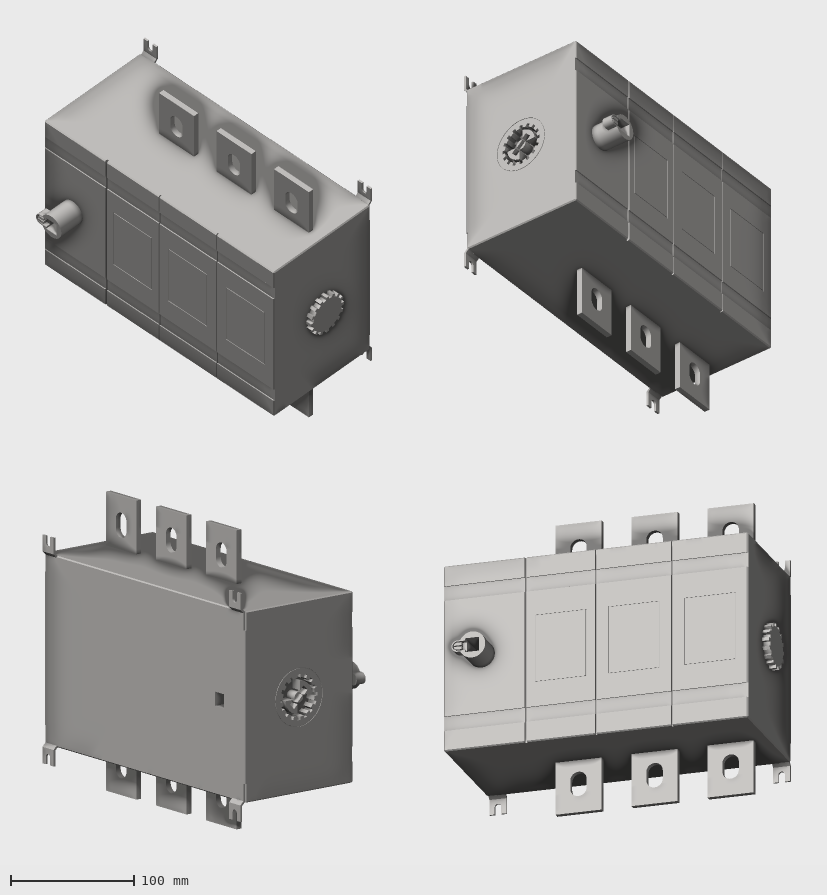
import cadquery as cq
import math


POLE_COUNT = 3
POLE_PITCH = 65.0
HOUSING_LENGTH = (POLE_COUNT + 1) * POLE_PITCH
HOUSING_DEPTH = 112.8
HOUSING_HEIGHT = 160.0
EDGE_CHAMFER = 1.0

BAND_GROOVE_HEIGHT = 12.5
BAND_GROOVE_OFFSET = 50.0
BAND_GROOVE_DEPTH = EDGE_CHAMFER
MODULE_JOINT_X = 70.0
MODULE_JOINT_WIDTH = 2.0
POLE_JOINT_WIDTH = 1.0
JOINT_DEPTH = 2.5

WINDOW_WIDTH = 44.0
WINDOW_HEIGHT = 58.0
WINDOW_GAP = 0.6
WINDOW_GAP_DEPTH = 0.5

TERMINAL_WIDTH = 39.5
TERMINAL_THICKNESS = 5.0
TERMINAL_SPAN = 250.0
TERMINAL_HOLE_WIDTH = 14.0
TERMINAL_HOLE_LENGTH = 21.0
TERMINAL_HOLE_OFFSET = 100.5

FOOT_WIDTH = 14.6
FOOT_INSET = 1.5
FOOT_THICKNESS = 1.8
FOOT_SETBACK = 3.2
FOOT_TIP_Z = 95.5
FOOT_BEND_Z = 78.5
FOOT_STRAP_END_Z = 64.0
FOOT_SLOT_WIDTH = 5.5
FOOT_SLOT_LENGTH = 9.0

SHAFT_X = POLE_PITCH / 2
SHAFT_DIAMETER = 22.5
SHAFT_LENGTH = 25.0
SHAFT_SQUARE = 11.9

POINTER_X = 19.8
POINTER_RADIUS = 4.9
POINTER_LENGTH = 9.2
POINTER_POCKET_RADIUS = 4.0
POINTER_POCKET_DEPTH = POINTER_LENGTH / 2
POINTER_CORE_RADIUS = 3.0
POINTER_CORE_FLAT_X = 23.4
POINTER_SLIT_WIDTH = 1.0

COUPLING_Y = HOUSING_DEPTH / 2
COUPLING_BOSS_LENGTH = 6.0
COUPLING_RECESS_DEPTH = 10.0
TOOTH_COUNT = 16
TOOTH_WIDTH = 3.0
TOOTH_TIP_RADIUS = 19.2
TOOTH_ROOT_RADIUS = 16.5
DIAL_OUTER_RADIUS = 24.7
DIAL_GROOVE_WIDTH = 0.6
DIAL_GROOVE_DEPTH = 0.5

SECTOR_RADIUS = 14.0
SECTOR_EDGE_OFFSET = 1.3
SECTOR_NOTCH_REACH = 10.0
SECTOR_NOTCH_WIDTH = 6.0
HUB_RADIUS = 4.5
HUB_SLOT_WIDTH = 4.0


def block(x_range, y_range, z_range):
    """Box given by its limits along each axis."""
    limits = (x_range, y_range, z_range)
    size = [high - low for low, high in limits]
    corner = tuple(low for low, high in limits)
    return cq.Workplane("XY").box(*size, centered=False).translate(corner)


def pole_module_limits(index):
    """Left and right X limits of the front panel of a pole module."""
    left = MODULE_JOINT_X if index == 0 else POLE_PITCH * (index + 1)
    return left, POLE_PITCH * (index + 2)


def front_cylinder(radius, x, y_start, y_end):
    """Cylinder along Y, centred at mid-height."""
    return (
        cq.Workplane("XZ", origin=(x, y_start, 0))
        .circle(radius)
        .extrude(y_start - y_end)
    )


def make_housing():
    half_height = HOUSING_HEIGHT / 2
    housing = block((0, HOUSING_LENGTH), (0, HOUSING_DEPTH), (-half_height, half_height))
    return housing.edges().chamfer(EDGE_CHAMFER)


def cut_front_grooves(body):
    half_height = HOUSING_HEIGHT / 2
    half_band = BAND_GROOVE_HEIGHT / 2
    for side in (-1, 1):
        band_z = side * (BAND_GROOVE_OFFSET + half_band)
        band = block(
            (0, HOUSING_LENGTH),
            (0, BAND_GROOVE_DEPTH),
            (band_z - half_band, band_z + half_band),
        )
        body = body.cut(band)

    joints = [(pole_module_limits(0)[0], MODULE_JOINT_WIDTH)]
    for index in range(1, POLE_COUNT):
        joints.append((pole_module_limits(index)[0], POLE_JOINT_WIDTH))
    for x, width in joints:
        joint = block(
            (x - width / 2, x + width / 2),
            (0, JOINT_DEPTH),
            (-half_height, half_height),
        )
        body = body.cut(joint)
    return body


def cut_windows(body):
    for index in range(POLE_COUNT):
        center_x = sum(pole_module_limits(index)) / 2
        outline = (
            cq.Workplane("XZ", origin=(center_x, 0, 0))
            .rect(WINDOW_WIDTH, WINDOW_HEIGHT)
            .rect(WINDOW_WIDTH - 2 * WINDOW_GAP, WINDOW_HEIGHT - 2 * WINDOW_GAP)
            .extrude(-WINDOW_GAP_DEPTH)
        )
        body = body.cut(outline)
    return body


def make_terminal(index):
    """Flat bar with a vertical slotted hole at each end."""
    center = (POLE_PITCH * (index + 1.5), HOUSING_DEPTH / 2, 0)
    bar = cq.Workplane("XY").box(TERMINAL_WIDTH, TERMINAL_THICKNESS, TERMINAL_SPAN)
    holes = (
        cq.Workplane("XZ")
        .pushPoints([(0, -TERMINAL_HOLE_OFFSET), (0, TERMINAL_HOLE_OFFSET)])
        .slot2D(TERMINAL_HOLE_LENGTH, TERMINAL_HOLE_WIDTH, 90)
        .extrude(TERMINAL_THICKNESS, both=True)
    )
    return bar.cut(holes).translate(center)


def make_upper_foot(center_x):
    """Joggled strap let into the back face, with an open-ended slot in its tip."""
    back = HOUSING_DEPTH
    foot_back = back + FOOT_SETBACK
    bend_top = FOOT_BEND_Z + FOOT_SETBACK
    bend_shift = FOOT_THICKNESS * math.tan(math.radians(22.5))
    profile = [
        (back, FOOT_STRAP_END_Z),
        (back, FOOT_BEND_Z),
        (foot_back, bend_top),
        (foot_back, FOOT_TIP_Z),
        (foot_back - FOOT_THICKNESS, FOOT_TIP_Z),
        (foot_back - FOOT_THICKNESS, bend_top + bend_shift),
        (back - FOOT_THICKNESS, FOOT_BEND_Z + bend_shift),
        (back - FOOT_THICKNESS, FOOT_STRAP_END_Z),
    ]
    strap = (
        cq.Workplane("YZ", origin=(center_x, 0, 0))
        .polyline(profile)
        .close()
        .extrude(FOOT_WIDTH / 2, both=True)
    )
    slot = (
        cq.Workplane("XZ", origin=(center_x, back, FOOT_TIP_Z))
        .slot2D(2 * FOOT_SLOT_LENGTH, FOOT_SLOT_WIDTH, 90)
        .extrude(-FOOT_SETBACK)
    )
    return strap.cut(slot)


def make_upper_relief(side_x, center_x):
    """Clearance in the back corner that exposes the outer edge of a strap."""
    return block(
        (min(side_x, center_x), max(side_x, center_x)),
        (HOUSING_DEPTH - FOOT_THICKNESS, HOUSING_DEPTH),
        (FOOT_STRAP_END_Z, HOUSING_HEIGHT / 2),
    )


def add_feet(body):
    left_x = FOOT_INSET + FOOT_WIDTH / 2
    for side_x, center_x in ((0, left_x), (HOUSING_LENGTH, HOUSING_LENGTH - left_x)):
        relief = make_upper_relief(side_x, center_x)
        body = body.cut(relief).cut(relief.mirror("XY"))
        foot = make_upper_foot(center_x)
        body = body.union(foot).union(foot.mirror("XY"))
    return body


def make_pointer():
    """Rounded finger on the side of the shaft at its free end."""
    front = -SHAFT_LENGTH
    finger = front_cylinder(POINTER_RADIUS, POINTER_X, front, front + POINTER_LENGTH)
    neck = block(
        (POINTER_X, SHAFT_X),
        (front, front + POINTER_LENGTH),
        (-POINTER_RADIUS, POINTER_RADIUS),
    )
    return finger.union(neck)


def cut_pointer_pocket(body):
    """Front pocket opening into the square hole, around a core split by a slit."""
    front = -SHAFT_LENGTH
    floor = front + POINTER_POCKET_DEPTH
    depth_range = (front, floor)
    half_slit = POINTER_SLIT_WIDTH / 2

    pocket = front_cylinder(POINTER_POCKET_RADIUS, POINTER_X, front, floor).union(
        block(
            (POINTER_X, SHAFT_X - SHAFT_SQUARE / 2),
            depth_range,
            (-POINTER_POCKET_RADIUS, POINTER_POCKET_RADIUS),
        )
    )
    core = front_cylinder(POINTER_CORE_RADIUS, POINTER_X, front, floor).union(
        block(
            (POINTER_X, POINTER_CORE_FLAT_X),
            depth_range,
            (-POINTER_CORE_RADIUS, POINTER_CORE_RADIUS),
        )
    )
    slit = block(
        (POINTER_X - POINTER_CORE_RADIUS, POINTER_CORE_FLAT_X),
        depth_range,
        (-half_slit, half_slit),
    )
    return body.cut(pocket.cut(core.cut(slit)))


def add_shaft(body):
    shaft = front_cylinder(SHAFT_DIAMETER / 2, SHAFT_X, -SHAFT_LENGTH, JOINT_DEPTH)
    body = body.union(shaft).union(make_pointer())
    body = cut_pointer_pocket(body)
    half_square = SHAFT_SQUARE / 2
    square_hole = block(
        (SHAFT_X - half_square, SHAFT_X + half_square),
        (-SHAFT_LENGTH, HOUSING_DEPTH),
        (-half_square, half_square),
    )
    return body.cut(square_hole)


def side_plane(x):
    """Sketch plane on a side face, centred on the coupling axis (sketch axes Y, Z)."""
    return cq.Workplane("YZ", origin=(x, COUPLING_Y, 0))


def make_toothed_disc(x, length):
    disc = side_plane(x).circle(TOOTH_ROOT_RADIUS).extrude(length)
    for index in range(TOOTH_COUNT // 2):
        tooth_pair = (
            side_plane(x)
            .transformed(rotate=(0, 0, index * 360 / TOOTH_COUNT))
            .rect(2 * TOOTH_TIP_RADIUS, TOOTH_WIDTH)
            .extrude(length)
        )
        disc = disc.union(tooth_pair)
    return disc


def make_driver_islands():
    """Two opposed quarter sectors and a central hub, all split by a diagonal slot."""
    sector_disc = side_plane(0).circle(SECTOR_RADIUS).extrude(COUPLING_RECESS_DEPTH)
    islands = None
    for side in (-1, 1):
        corner = side * (SECTOR_EDGE_OFFSET + SECTOR_RADIUS / 2)
        quarter = (
            side_plane(0)
            .center(-corner, corner)
            .rect(SECTOR_RADIUS, SECTOR_RADIUS)
            .extrude(COUPLING_RECESS_DEPTH)
        )
        sector = sector_disc.intersect(quarter)
        islands = sector if islands is None else islands.union(sector)

    diagonal = side_plane(0).transformed(rotate=(0, 0, 135))
    notch = diagonal.rect(2 * SECTOR_NOTCH_REACH, SECTOR_NOTCH_WIDTH).extrude(COUPLING_RECESS_DEPTH)
    hub_slot = diagonal.rect(2 * HUB_RADIUS, HUB_SLOT_WIDTH).extrude(COUPLING_RECESS_DEPTH)
    hub = side_plane(0).circle(HUB_RADIUS).extrude(COUPLING_RECESS_DEPTH).cut(hub_slot)
    return islands.cut(notch).union(hub)


def add_coupling(body):
    recess = make_toothed_disc(0, COUPLING_RECESS_DEPTH).cut(make_driver_islands())
    dial_groove = (
        side_plane(0)
        .circle(DIAL_OUTER_RADIUS)
        .circle(DIAL_OUTER_RADIUS - DIAL_GROOVE_WIDTH)
        .extrude(DIAL_GROOVE_DEPTH)
    )
    boss = make_toothed_disc(HOUSING_LENGTH, COUPLING_BOSS_LENGTH)
    return body.cut(recess).cut(dial_groove).union(boss)


def build():
    body = cut_windows(cut_front_grooves(make_housing()))
    for index in range(POLE_COUNT):
        body = body.union(make_terminal(index))
    return add_coupling(add_shaft(add_feet(body)))


result = build()